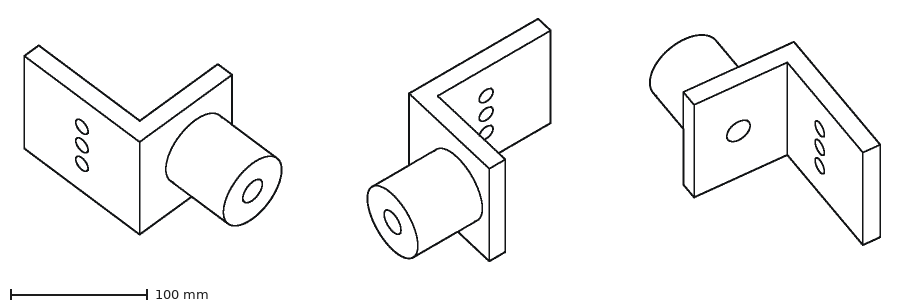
import cadquery as cq

total_length = 180.0
depth = 95.0
height = 100.0
wall = 15.0

boss_length = 60.0
boss_diameter = 60.0
bore_diameter = 20.0
boss_y = 56.9

bolt_diameter = 12.8
bolt_pitch = 20.0
bolt_count = 3

plate_length = total_length - boss_length
mid_height = height / 2

long_plate = cq.Workplane("XY").box(plate_length, wall, height, centered=False)
end_wall = (
    cq.Workplane("XY")
    .box(wall, depth, height, centered=False)
    .translate((plate_length - wall, 0, 0))
)
bracket = long_plate.union(end_wall)


def cylinder_along_x(diameter, start_x, end_x):
    """Cylinder on the boss axis between two X positions."""
    return (
        cq.Workplane("YZ", origin=(start_x, boss_y, mid_height))
        .circle(diameter / 2)
        .extrude(end_x - start_x)
    )


boss = cylinder_along_x(boss_diameter, plate_length, total_length)
bore = cylinder_along_x(bore_diameter, plate_length - wall, total_length)

bolt_holes = (
    cq.Workplane("XZ", origin=(plate_length / 2, 0, mid_height))
    .rarray(1.8, bolt_pitch, 1, bolt_count)
    .circle(bolt_diameter / 2)
    .extrude(-wall)
)

result = bracket.union(boss).cut(bore).cut(bolt_holes)